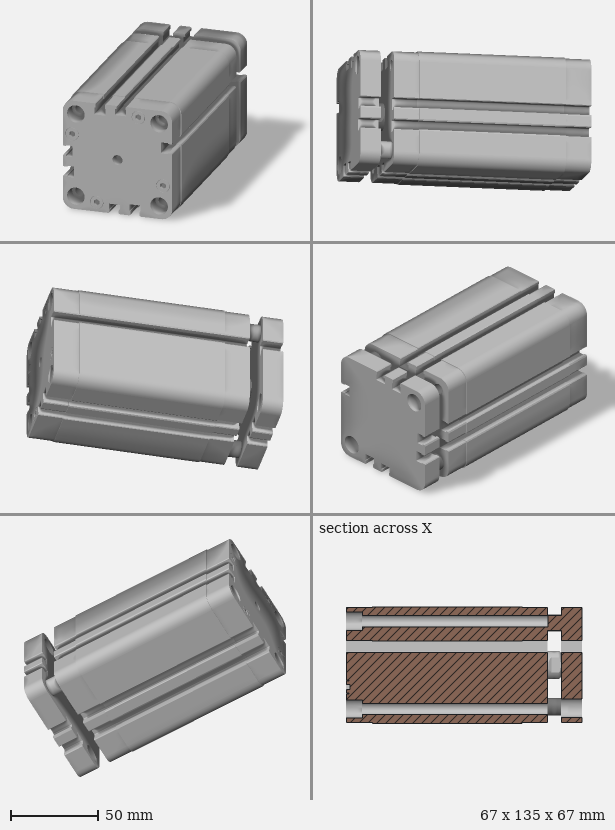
import cadquery as cq
import math

total_length = 135.0
front_cap_length = 14.8
rear_cap_length = 14.6
gap_length = 7.7
plate_length = 12.0
plate_front = total_length - plate_length
body_length = plate_front - gap_length
tube_length = body_length - front_cap_length - rear_cap_length

tube_width = 67.0
cap_width = 66.0
corner_centre = 26.5

slot_a_turns = (0, 1, 2, 3)
slot_a_tube = dict(
    neck_left=-13.1, neck_right=-8.0, flare_left=0.8, flare_right=0.8,
    cavity_left=-13.9, cavity_right=-7.2, lip_base=30.4, floor=26.3,
)
slot_a_cap = dict(slot_a_tube, neck_left=-13.4, neck_right=-7.7, flare_left=0.5, flare_right=0.5, floor=26.2)
slot_b_turns = (0, 1, 2)
slot_b_tube = dict(
    neck_left=-0.5, neck_right=4.9, flare_left=0.4, flare_right=0.4,
    cavity_left=-1.5, cavity_right=5.3, lip_base=31.0, floor=27.8,
)
slot_b_cap = dict(slot_b_tube, flare_left=1.0, floor=27.3)
tube_slots = ((slot_a_tube, slot_a_turns), (slot_b_tube, slot_b_turns))
cap_slots = ((slot_a_cap, slot_a_turns), (slot_b_cap, slot_b_turns))
flare_depth = 0.4
slot_floor_radius = 0.4
slot_overshoot = 1.4

mount_offset = 25.1
mount_bore = 6.6
mount_counterbore = 10.5
mount_counterbore_depth = 9.0

guide_rod_diameter = 10.0
guide_rod_offset = 24.0
plate_hole_diameter = 11.0
plate_hole_offset = 24.6
piston_rod_diameter = 16.0
piston_flat_width = 13.5
piston_end_radius = 1.8
flat_runout_end = 0.4
flat_straight_start = 2.2

port_diameter = 6.0
port_depth = 6.8

screw_across = 12.5
screw_height = 27.4
screw_hole_diameter = 8.0
screw_head_diameter = 7.5
screw_gap_depth = 1.4
screw_socket_flats = 3.4
screw_socket_depth = 2.0


def section(y):
    """Workplane across the Y axis at the given distance from the front face."""
    return cq.Workplane("XZ", origin=(0, y, 0))


def turned(shape, quarters):
    """Turn a shape about the Y axis by quarter turns, from the top side towards the left side."""
    return shape.rotate((0, 0, 0), (0, 1, 0), -90 * quarters)


def slot_cutter(slot, width, y, length):
    """T-slot in the top side with a shallow flare at its mouth and a rounded cavity floor."""
    top = width / 2
    cavity_width = slot["cavity_right"] - slot["cavity_left"]
    cavity_height = slot["lip_base"] - slot["floor"]
    cavity = (
        section(y)
        .center(slot["cavity_left"] + cavity_width / 2, slot["floor"] + cavity_height / 2)
        .rect(cavity_width, cavity_height).extrude(-length)
        .faces("<Z").edges("|Y").fillet(slot_floor_radius)
    )
    mouth_left = slot["neck_left"] - slot["flare_left"]
    mouth_right = slot["neck_right"] + slot["flare_right"]
    neck_outline = [
        (slot["neck_left"], slot["lip_base"]), (slot["neck_right"], slot["lip_base"]),
        (slot["neck_right"], top - flare_depth), (mouth_right, top),
        (mouth_right, top + slot_overshoot), (mouth_left, top + slot_overshoot),
        (mouth_left, top), (slot["neck_left"], top - flare_depth),
    ]
    neck = section(y).polyline(neck_outline).close().extrude(-length)
    return cavity.union(neck)


def slotted_block(width, slots, y, length):
    """Square block with rounded corners and T-slots along its sides."""
    corner_radius = width / 2 - corner_centre
    block = section(y).rect(width, width).extrude(-length).edges("|Y").fillet(corner_radius)
    for slot, turns in slots:
        cutter = slot_cutter(slot, width, y, length)
        for quarters in turns:
            block = block.cut(turned(cutter, quarters))
    return block


def piston_rod():
    """Rod end with a rounded edge and two flats that run out to the full diameter."""
    rod = section(body_length).circle(piston_rod_diameter / 2).extrude(-gap_length)
    rod = rod.faces(">Y").fillet(piston_end_radius)
    flat = piston_flat_width / 2
    outer = piston_rod_diameter / 2
    keep = (
        cq.Workplane("XY")
        .polyline([
            (-outer, body_length), (outer, body_length), (outer, body_length + flat_runout_end),
            (flat, body_length + flat_straight_start), (flat, plate_front),
            (-flat, plate_front), (-flat, body_length + flat_straight_start),
            (-outer, body_length + flat_runout_end),
        ])
        .close()
        .extrude(outer, both=True)
    )
    return rod.intersect(keep)


def screw_recess(x, z):
    """Clearance ring and hexagon socket of a flush cap screw; the hexagon has a corner upwards."""
    ring = (
        section(0).center(x, z)
        .circle(screw_hole_diameter / 2).circle(screw_head_diameter / 2)
        .extrude(-screw_gap_depth)
    )
    socket = (
        section(0).center(x, z).transformed(rotate=(0, 0, 90))
        .polygon(6, screw_socket_flats / math.cos(math.pi / 6)).extrude(-screw_socket_depth)
    )
    return ring.union(socket)


rear_cap_start = front_cap_length + tube_length
body = slotted_block(cap_width, cap_slots, 0, front_cap_length)
body = body.union(slotted_block(tube_width, tube_slots, front_cap_length, tube_length))
body = body.union(slotted_block(cap_width, cap_slots, rear_cap_start, rear_cap_length))

counterbores = (
    section(0).rect(2 * mount_offset, 2 * mount_offset, forConstruction=True).vertices()
    .circle(mount_counterbore / 2).extrude(-mount_counterbore_depth)
)
bores = (
    section(0).rect(2 * mount_offset, 2 * mount_offset, forConstruction=True).vertices()
    .circle(mount_bore / 2).extrude(-body_length)
)
port = section(0).circle(port_diameter / 2).extrude(-port_depth)
body = body.cut(counterbores).cut(bores).cut(port)

screw_centres = [
    (screw_across, screw_height), (-screw_height, screw_across),
    (-screw_across, -screw_height), (screw_height, -screw_across),
]
for x, z in screw_centres:
    body = body.cut(screw_recess(x, z))

plate = slotted_block(cap_width, cap_slots, plate_front, plate_length)
plate_holes = (
    section(plate_front)
    .pushPoints([(-plate_hole_offset, plate_hole_offset), (plate_hole_offset, -plate_hole_offset)])
    .circle(plate_hole_diameter / 2).extrude(-plate_length)
)
plate = plate.cut(plate_holes)

guide_rods = (
    section(body_length)
    .pushPoints([(-guide_rod_offset, -guide_rod_offset), (guide_rod_offset, guide_rod_offset)])
    .circle(guide_rod_diameter / 2).extrude(-gap_length)
)

result = body.union(guide_rods).union(piston_rod()).union(plate)